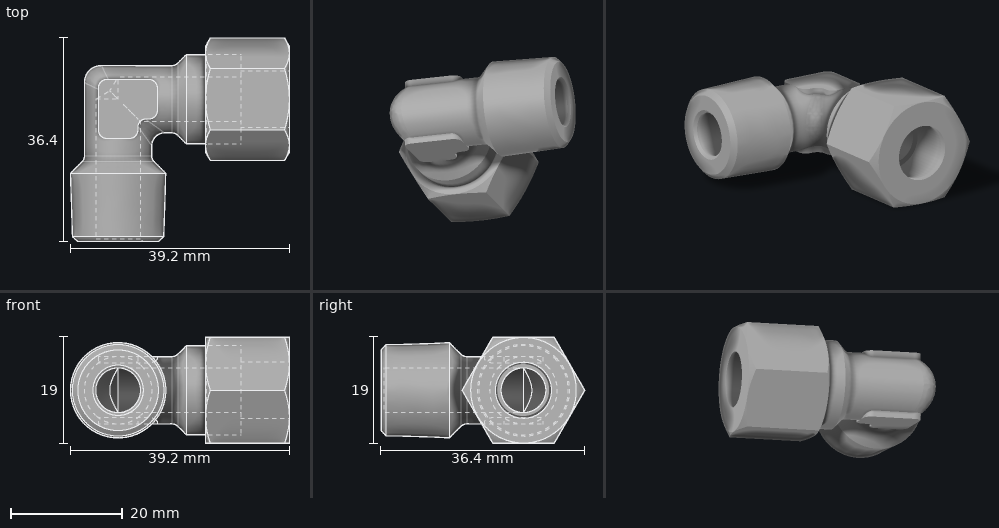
import cadquery as cq
import math

LEG_R = 6.05
NECK_R = 1.5
OUTER_CORNER_R = 3.0
INNER_CORNER_R = 2.27

COLLAR_R = 8.0
COLLAR_START = 12.2
COLLAR_END = 22.0

STUD_R = 8.55
STUD_START = 13.25
STUD_TIP_START = 24.58
STUD_END = 25.48
STUD_TIP_R = 7.2
STUD_TAPER = 1 / 32

BORE_R = 4.0
BORE_MOUTH_R = 4.5
DRILL_POINT_HALF_ANGLE = 59

PAD_HALF_WIDTH = 3.53
PAD_REACH = 7.0
PAD_CORNER_R = 1.5

NUT_START = 15.6
NUT_END = 30.65
NUT_SIDES = 6
NUT_FLATS = 19.0
NUT_FACE_R = 9.45
NUT_CHAMFER_ANGLE = 30
NUT_MOUTH_CHAMFER = 0.25
TUBE_R = 5.0

TOLERANCE = 0.0005


def along_x(solid):
    """Turn a body built along +Y onto the +X axis."""
    return solid.rotate((0, 0, 0), (0, 0, 1), -90)


def along_minus_y(solid):
    """Turn a body built along +Y onto the -Y axis."""
    return solid.rotate((0, 0, 0), (0, 0, 1), 180)


def revolve_about_y(profile):
    return profile.close().revolve(360, (0, 0, 0), (0, 1, 0))


def flared_leg(flare_radius, flare_start, end_points):
    """Leg running through a neck fillet and 45 degree cone, to its end profile."""
    diagonal = math.sqrt(0.5)
    cone_r = LEG_R + NECK_R * (1 - diagonal)
    cone_start = flare_start - (flare_radius - cone_r)
    neck_start = cone_start - NECK_R * diagonal
    half_angle = math.radians(45 / 2)
    neck_mid = (
        LEG_R + NECK_R * (1 - math.cos(half_angle)),
        neck_start + NECK_R * math.sin(half_angle),
    )
    profile = (
        cq.Workplane("XY")
        .moveTo(0, -LEG_R)
        .lineTo(LEG_R, -LEG_R)
        .lineTo(LEG_R, neck_start)
        .threePointArc(neck_mid, (cone_r, cone_start))
        .lineTo(flare_radius, flare_start)
    )
    for point in end_points:
        profile = profile.lineTo(*point)
    return revolve_about_y(profile)


def collar_side():
    """Block filling the +X side of the corner's miter plane, y = -x."""
    size = 2 * (NUT_END + STUD_END)
    return cq.Workplane("XY").box(size, size, size).translate((0, size / 2, 0)).rotate(
        (0, 0, 0), (0, 0, 1), -45
    )


def drilled_bore(length):
    """Bore from the leg end to the crossing, with the drill point running past it."""
    point_length = BORE_R / math.tan(math.radians(DRILL_POINT_HALF_ANGLE))
    return revolve_about_y(
        cq.Workplane("XY")
        .moveTo(0, -point_length)
        .lineTo(BORE_R, 0)
        .lineTo(BORE_R, length)
        .lineTo(0, length)
    )


def stud_mouth():
    """45 degree countersink at the open end of the stud."""
    return revolve_about_y(
        cq.Workplane("XY")
        .moveTo(0, STUD_END)
        .lineTo(BORE_MOUTH_R, STUD_END)
        .lineTo(0, STUD_END - BORE_MOUTH_R)
    )


def corner_pads():
    """L-shaped prism whose ends show as pads flush with the tops of the legs."""
    near = PAD_HALF_WIDTH
    far = PAD_REACH
    outline = [(-near, near), (far, near), (far, -near), (near, -near), (near, -far), (-near, -far)]
    return (
        cq.Workplane("XY")
        .workplane(offset=-LEG_R)
        .polyline(outline)
        .close()
        .extrude(2 * LEG_R)
        .edges("|Z")
        .fillet(PAD_CORNER_R)
    )


def round_miter(body, outside, radius):
    """Fillet the miter edges between the legs on the outside (-X) or inside (+X) of the corner."""
    edges = [
        edge
        for edge in body.edges("%ELLIPSE").vals()
        if abs(edge.Center().x + edge.Center().y) < TOLERANCE and (edge.Center().x < 0) == outside
    ]
    return body.newObject(edges).fillet(radius)


def make_elbow():
    stud_tip_start_r = STUD_R - STUD_TAPER * (STUD_TIP_START - STUD_START)
    collar_end = [(COLLAR_R, COLLAR_END), (0, COLLAR_END)]
    stud_end = [(stud_tip_start_r, STUD_TIP_START), (STUD_TIP_R, STUD_END), (0, STUD_END)]
    collar_leg = along_x(flared_leg(COLLAR_R, COLLAR_START, collar_end))
    stud_leg = along_minus_y(flared_leg(STUD_R, STUD_START, stud_end))

    body = collar_leg.intersect(collar_side()).union(stud_leg.cut(collar_side()))
    body = body.union(corner_pads())
    body = round_miter(body, True, OUTER_CORNER_R)
    body = round_miter(body, False, INNER_CORNER_R)
    body = body.cut(along_x(drilled_bore(COLLAR_END)))
    body = body.cut(along_minus_y(drilled_bore(STUD_END)))
    return body.cut(along_minus_y(stud_mouth()))


def nut_blank():
    """Hexagonal prism with flats at top and bottom and its corners turned off at both ends."""
    length = NUT_END - NUT_START
    corner_r = NUT_FLATS / 2 / math.cos(math.pi / NUT_SIDES)
    chamfer_length = (corner_r - NUT_FACE_R) * math.tan(math.radians(NUT_CHAMFER_ANGLE))
    hexagon = cq.Workplane("YZ").workplane(offset=NUT_START).polygon(NUT_SIDES, 2 * corner_r).extrude(length)
    turned = revolve_about_y(
        cq.Workplane("XY")
        .moveTo(0, NUT_START)
        .lineTo(NUT_FACE_R, NUT_START)
        .lineTo(corner_r, NUT_START + chamfer_length)
        .lineTo(corner_r, NUT_END - chamfer_length)
        .lineTo(NUT_FACE_R, NUT_END)
        .lineTo(0, NUT_END)
    )
    return hexagon.intersect(along_x(turned))


def nut_bore():
    """Chamfered bore seating on the collar, then a smaller through hole for the tube."""
    return along_x(
        revolve_about_y(
            cq.Workplane("XY")
            .moveTo(0, NUT_START)
            .lineTo(COLLAR_R + NUT_MOUTH_CHAMFER, NUT_START)
            .lineTo(COLLAR_R, NUT_START + NUT_MOUTH_CHAMFER)
            .lineTo(COLLAR_R, COLLAR_END)
            .lineTo(TUBE_R, COLLAR_END)
            .lineTo(TUBE_R, NUT_END)
            .lineTo(0, NUT_END)
        )
    )


def make_nut():
    return nut_blank().cut(nut_bore())


elbow = make_elbow()
union_nut = make_nut()
result = cq.Compound.makeCompound([elbow.val(), union_nut.val()])